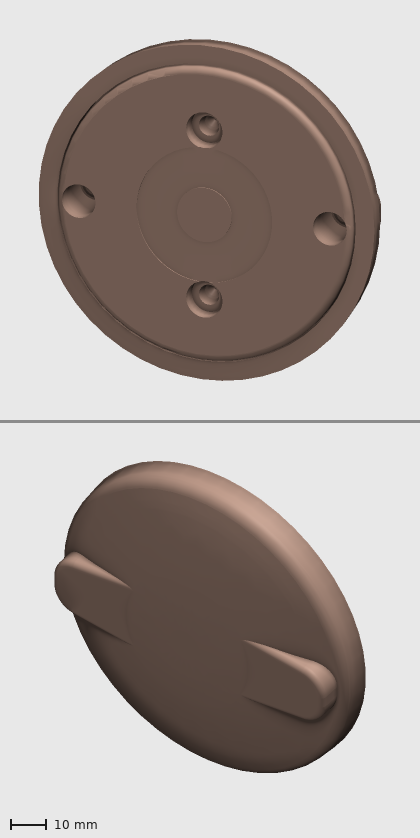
import cadquery as cq
import math


RIM_RADIUS = 49.5
SHOULDER_RADIUS = 49.0
DOME_RADIUS = 46.5
FLAT_RADIUS = 4.95
RIM_Y = 2.0
SHOULDER_Y = 8.3
DOME_Y = 11.6
APEX_Y = 19.9
SHOULDER_ARC_RADIUS = 4.2

PLATE_RADIUS = 43.5
PLATE_THICKNESS = 7.9
PLATE_EDGE_FILLET = 2.0
PLATE_GAP = 0.5
GROOVE_OUTER_RADIUS = 20.0
GROOVE_INNER_RADIUS = 8.0
GROOVE_DEPTH = 0.3

LUG_TOP_Y = 18.7
LUG_HALF_LENGTH = 46.4
LUG_END_HALF_WIDTH = 8.7
LUG_MID_HALF_WIDTH = 13.8
LUG_CORNER_RADIUS = 7.9
LUG_TOP_FILLET = 2.0

BORE_OFFSET = 37.0
BORE_RADIUS = 4.95
BORE_FLOOR_Y = 15.8
CONE_BASE_RADIUS = 4.4
CONE_TIP_RADIUS = 2.8
CONE_HEIGHT = 2.0

SCREW_OFFSET = 25.0
COUNTERBORE_MOUTH_RADIUS = 5.3
COUNTERBORE_FLOOR_RADIUS = 5.0
COUNTERBORE_DEPTH = 4.3
CLEARANCE_MOUTH_RADIUS = 3.0
PILOT_MOUTH_RADIUS = 2.4
PILOT_END_RADIUS = 1.8
PILOT_TIP_RADIUS = 0.5
PILOT_DEPTH = 0.6
PILOT_CONE_DEPTH = 2.0


def arc_middle(start, end, radius):
    """Middle of the arc of this radius from start to end that bulges to the left of the chord."""
    chord_x = end[0] - start[0]
    chord_y = end[1] - start[1]
    chord = math.hypot(chord_x, chord_y)
    rise = radius - math.sqrt(radius**2 - (chord / 2) ** 2)
    return (
        (start[0] + end[0]) / 2 - rise * chord_y / chord,
        (start[1] + end[1]) / 2 + rise * chord_x / chord,
    )


def turned(profile):
    """Solid of revolution about Y of a closed (radius, y) profile."""
    return profile.close().revolve(360, (0, 0, 0), (0, 1, 0))


def round_body(x, z, stations):
    """Round body along Y at (x, z) through the given (radius, y) stations."""
    outline = [(0, stations[0][1]), *stations, (0, stations[-1][1])]
    return turned(cq.Workplane("XY").polyline(outline)).translate((x, 0, z))


def make_shell():
    """Domed disc with a drafted rim and a rounded shoulder."""
    dome_drop = APEX_Y - DOME_Y
    dome_arc_radius = ((DOME_RADIUS - FLAT_RADIUS) ** 2 + dome_drop**2) / (2 * dome_drop)
    flat_edge = (FLAT_RADIUS, APEX_Y)
    dome_edge = (DOME_RADIUS, DOME_Y)
    shoulder = (SHOULDER_RADIUS, SHOULDER_Y)
    profile = (
        cq.Workplane("XY")
        .moveTo(0, APEX_Y)
        .lineTo(*flat_edge)
        .threePointArc(arc_middle(flat_edge, dome_edge, dome_arc_radius), dome_edge)
        .threePointArc(arc_middle(dome_edge, shoulder, SHOULDER_ARC_RADIUS), shoulder)
        .lineTo(RIM_RADIUS, RIM_Y)
        .lineTo(0, RIM_Y)
    )
    return turned(profile)


def make_lug_bar():
    """Bar across the dome, widest in the middle, with round corners and a rounded top edge."""
    outline = [
        (LUG_HALF_LENGTH, -LUG_END_HALF_WIDTH),
        (LUG_HALF_LENGTH, LUG_END_HALF_WIDTH),
        (0, LUG_MID_HALF_WIDTH),
        (-LUG_HALF_LENGTH, LUG_END_HALF_WIDTH),
        (-LUG_HALF_LENGTH, -LUG_END_HALF_WIDTH),
        (0, -LUG_MID_HALF_WIDTH),
    ]
    return (
        cq.Workplane("XZ", origin=(0, SHOULDER_Y, 0))
        .polyline(outline)
        .close()
        .extrude(SHOULDER_Y - LUG_TOP_Y)
        .edges("|Y")
        .edges("<X or >X")
        .fillet(LUG_CORNER_RADIUS)
        .faces(">Y")
        .edges()
        .fillet(LUG_TOP_FILLET)
    )


def make_housing():
    housing = make_shell().union(make_lug_bar())

    recess = cq.Workplane("XZ").circle(PLATE_RADIUS + PLATE_GAP).extrude(-PLATE_THICKNESS)
    housing = housing.cut(recess)

    cone_tip_y = BORE_FLOOR_Y - CONE_HEIGHT
    pilot_end = PLATE_THICKNESS + PILOT_DEPTH
    for side in (-1, 1):
        bore = [(BORE_RADIUS, PLATE_THICKNESS), (BORE_RADIUS, BORE_FLOOR_Y)]
        floor_cone = [(CONE_TIP_RADIUS, cone_tip_y), (CONE_BASE_RADIUS, BORE_FLOOR_Y)]
        pilot = [
            (PILOT_MOUTH_RADIUS, PLATE_THICKNESS),
            (PILOT_END_RADIUS, pilot_end),
            (PILOT_TIP_RADIUS, pilot_end + PILOT_CONE_DEPTH),
        ]
        bore_cutter = round_body(side * BORE_OFFSET, 0, bore)
        housing = housing.cut(bore_cutter.cut(round_body(side * BORE_OFFSET, 0, floor_cone)))
        housing = housing.cut(round_body(0, side * SCREW_OFFSET, pilot))
    return housing


def make_base_plate():
    plate = (
        cq.Workplane("XZ")
        .circle(PLATE_RADIUS)
        .extrude(-PLATE_THICKNESS)
        .faces("<Y")
        .edges()
        .fillet(PLATE_EDGE_FILLET)
    )

    groove = (
        cq.Workplane("XZ")
        .circle(GROOVE_OUTER_RADIUS)
        .circle(GROOVE_INNER_RADIUS)
        .extrude(-GROOVE_DEPTH)
    )
    plate = plate.cut(groove)

    for side in (-1, 1):
        bore = [(BORE_RADIUS, 0), (BORE_RADIUS, PLATE_THICKNESS)]
        screw_hole = [
            (COUNTERBORE_MOUTH_RADIUS, 0),
            (COUNTERBORE_FLOOR_RADIUS, COUNTERBORE_DEPTH),
            (CLEARANCE_MOUTH_RADIUS, COUNTERBORE_DEPTH),
            (PILOT_MOUTH_RADIUS, PLATE_THICKNESS),
        ]
        plate = plate.cut(round_body(side * BORE_OFFSET, 0, bore))
        plate = plate.cut(round_body(0, side * SCREW_OFFSET, screw_hole))
    return plate


housing = make_housing()
base_plate = make_base_plate()

result = cq.Compound.makeCompound([housing.val(), base_plate.val()])